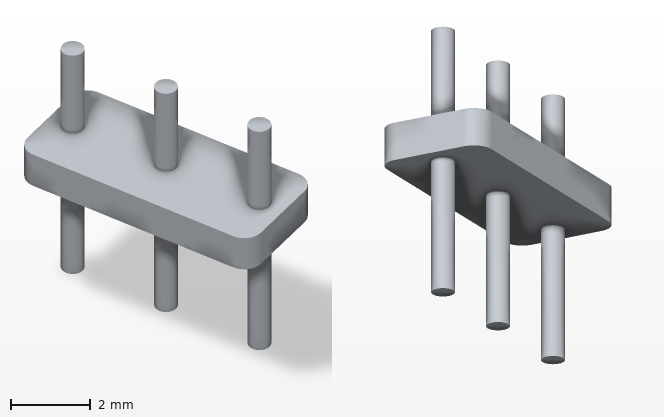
import cadquery as cq

plate_length = 7.0
plate_width = 3.0
plate_thickness = 1.0
corner_radius = 0.5

pin_count = 3
pin_pitch = 2.8
pin_diameter = 0.6
pin_length_below = 3.5
pin_length_above = 2.5


def make_plate():
    """Flat plate with rounded vertical corners."""
    return (
        cq.Workplane("XY")
        .rect(plate_length, plate_width)
        .extrude(plate_thickness)
        .edges("|Z")
        .fillet(corner_radius)
    )


def make_pins():
    """Evenly spaced pins, centred on the plate and standing out on both sides."""
    pin_length = pin_length_below + plate_thickness + pin_length_above
    return (
        cq.Workplane("XY")
        .workplane(offset=-pin_length_below)
        .rarray(pin_pitch, 1, pin_count, 1)
        .circle(pin_diameter / 2)
        .extrude(pin_length)
    )


result = make_plate().union(make_pins())